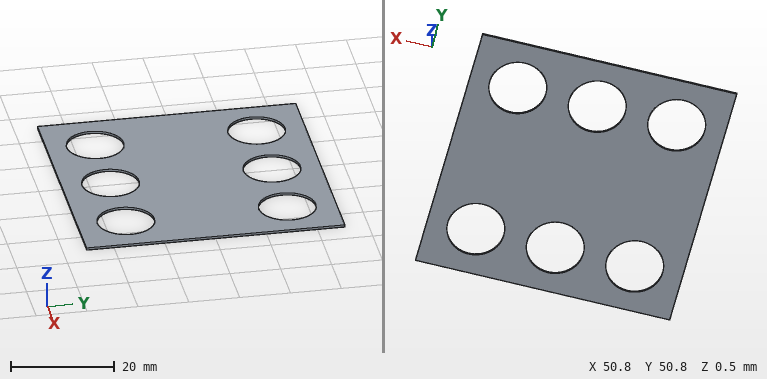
import cadquery as cq

side = 50.8
thickness = 0.5

hole_diameter = 11.18
column_pitch = 15.875
columns = 3
row_spacing = 2 * column_pitch
rows = 2


def make_sheet():
    """Flat square sheet, centred on the origin in X and Y, resting on Z = 0."""
    return cq.Workplane("XY").box(side, side, thickness, centered=(True, True, False))


def cut_holes(sheet):
    """Cut the centred grid of holes through the full thickness."""
    return (
        sheet.faces(">Z")
        .workplane(centerOption="CenterOfBoundBox")
        .rarray(column_pitch, row_spacing, columns, rows)
        .hole(hole_diameter)
    )


result = cut_holes(make_sheet())